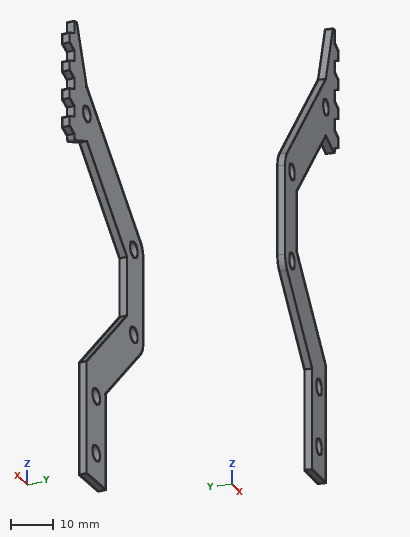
import cadquery as cq
import math

thickness = 2.0
height = 116.9
overall_width = 39.3

arm_width = 10.2
half_width = arm_width / 2
waist_inner_x = 8.8

hole_diameter = 4.0
foot_hole_z = 7.5
foot_hole_spacing = 15.1
waist_hole_spacing = 22.5
stem_offset = 20.0
diagonal_run = 25.0

waist_x = half_width
stem_x = waist_x + stem_offset
head_x = waist_x + diagonal_run
stem_hole_z = foot_hole_z + foot_hole_spacing
lower_waist_z = stem_hole_z + diagonal_run
upper_waist_z = lower_waist_z + waist_hole_spacing
head_z = upper_waist_z + diagonal_run

tooth_count = 4
tooth_pitch = 7.4
tooth_depth = 2.6
tooth_root_width = 4.5
tooth_tip_width = 2.6
first_tooth_z = 89.3
root_x = overall_width - tooth_depth
tip_width = 1.4
heel_z = 85.3
heel_radius = 0.7

diagonal_shift = half_width * math.sqrt(2)
arc_reach = half_width / math.sqrt(2)
arc_mid_x = half_width * math.cos(math.radians(22.5))
arc_mid_z = half_width * math.sin(math.radians(22.5))


def lower_diagonal_z(x):
    """Height of the lower diagonal's centreline."""
    return lower_waist_z + waist_x - x


def upper_diagonal_z(x):
    """Height of the upper diagonal's centreline."""
    return upper_waist_z + x - waist_x


def add_tooth(outline, center_z):
    """Extend the outline upward around one tapered tooth."""
    return (
        outline.lineTo(root_x, center_z - tooth_root_width / 2)
        .lineTo(overall_width, center_z - tooth_tip_width / 2)
        .lineTo(overall_width, center_z + tooth_tip_width / 2)
        .lineTo(root_x, center_z + tooth_root_width / 2)
    )


def make_plate():
    stem_left = stem_x - half_width
    stem_right = stem_x + half_width
    outline = (
        cq.Workplane("XZ")
        .moveTo(stem_left, 0)
        .lineTo(stem_right, 0)
        .lineTo(stem_right, lower_diagonal_z(stem_right) + diagonal_shift)
        .lineTo(waist_inner_x, lower_diagonal_z(waist_inner_x) + diagonal_shift)
        .lineTo(waist_inner_x, upper_diagonal_z(waist_inner_x) - diagonal_shift)
        .lineTo(head_x, head_z - diagonal_shift)
        .lineTo(root_x, heel_z)
    )
    for index in range(tooth_count):
        outline = add_tooth(outline, first_tooth_z + index * tooth_pitch)
    outline = (
        outline.lineTo(root_x, height)
        .lineTo(root_x - tip_width, height)
        .lineTo(head_x, head_z + diagonal_shift)
        .lineTo(waist_x - arc_reach, upper_waist_z + arc_reach)
        .threePointArc((waist_x - arc_mid_x, upper_waist_z + arc_mid_z), (0, upper_waist_z))
        .lineTo(0, lower_waist_z)
        .threePointArc(
            (waist_x - arc_mid_x, lower_waist_z - arc_mid_z),
            (waist_x - arc_reach, lower_waist_z - arc_reach),
        )
        .lineTo(stem_left, lower_diagonal_z(stem_left) - diagonal_shift)
        .close()
    )
    plate = outline.extrude(thickness)
    heel = cq.selectors.NearestToPointSelector((root_x, -thickness / 2, heel_z))
    return plate.edges("|Y").edges(heel).fillet(heel_radius)


def make_holes():
    centers = [
        (stem_x, foot_hole_z),
        (stem_x, stem_hole_z),
        (waist_x, lower_waist_z),
        (waist_x, upper_waist_z),
        (head_x, head_z),
    ]
    return cq.Workplane("XZ").pushPoints(centers).circle(hole_diameter / 2).extrude(thickness)


result = make_plate().cut(make_holes())